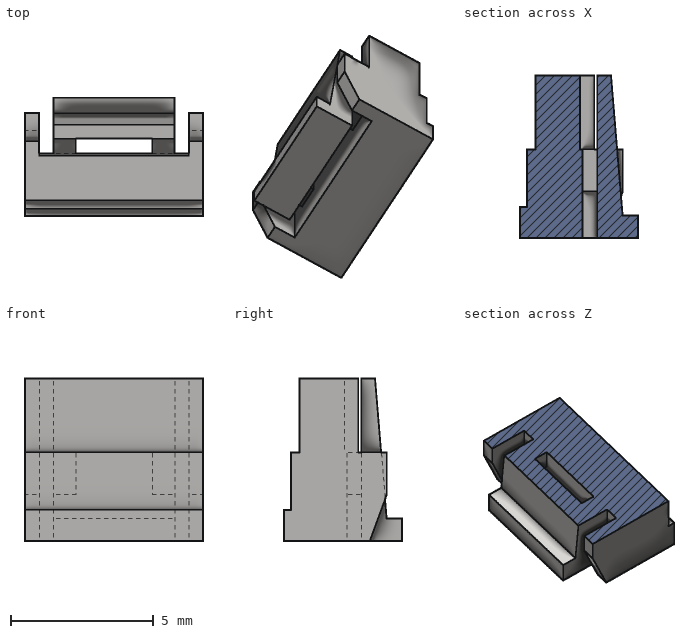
import cadquery as cq

width = 6.25
depth = 4.15
height = 5.7

foot_height = 1.095
middle_front = 0.25
shoulder_height = 3.11
upper_front = 0.55
upper_back = 2.61

cheek_thickness = 0.5
cheek_back = 3.61
cheek_slope_height = 1.64
cheek_bottom_back = 3.01

recess_lower_wall = 2.205
recess_upper_wall = 2.11

latch_width = 4.25
latch_front = 2.71
latch_top_back = 3.2
latch_tab_back = 3.605
tab_height = 0.8

arm_width = 0.795
arm_bottom = cheek_slope_height
arm_top = shoulder_height


def extrude_across(points, across):
    """Extrude a (Y, Z) outline along X, centred on the middle plane."""
    return cq.Workplane("YZ").polyline(points).close().extrude(across / 2, both=True)


def box_between(across, y_range, z_range, x_center=0.0):
    """Make a box from its X width and its Y and Z limits."""
    y_start, y_end = y_range
    z_start, z_end = z_range
    return (
        cq.Workplane("XY")
        .box(across, y_end - y_start, z_end - z_start, centered=(True, False, False))
        .translate((x_center, y_start, z_start))
    )


def make_housing():
    """Stepped block with a two-level recess open at the back."""
    block = extrude_across(
        [
            (0, 0),
            (cheek_bottom_back, 0),
            (cheek_back, cheek_slope_height),
            (cheek_back, shoulder_height),
            (upper_back, shoulder_height),
            (upper_back, height),
            (upper_front, height),
            (upper_front, shoulder_height),
            (middle_front, shoulder_height),
            (middle_front, foot_height),
            (0, foot_height),
        ],
        width,
    )
    recess_width = width - 2 * cheek_thickness
    lower_recess = box_between(recess_width, (recess_lower_wall, depth), (0, shoulder_height))
    upper_recess = box_between(recess_width, (recess_upper_wall, depth), (shoulder_height, height))
    return block.cut(lower_recess).cut(upper_recess)


def make_latch():
    """Tapered latch plate with its thumb tab."""
    return extrude_across(
        [
            (latch_front, 0),
            (depth, 0),
            (depth, tab_height),
            (latch_tab_back, tab_height),
            (latch_top_back, height),
            (latch_front, height),
        ],
        latch_width,
    )


result = make_housing().union(make_latch())
arm_offset = (latch_width - arm_width) / 2
for side in (-1, 1):
    arm = box_between(
        arm_width, (recess_lower_wall, latch_front), (arm_bottom, arm_top), side * arm_offset
    )
    result = result.union(arm)